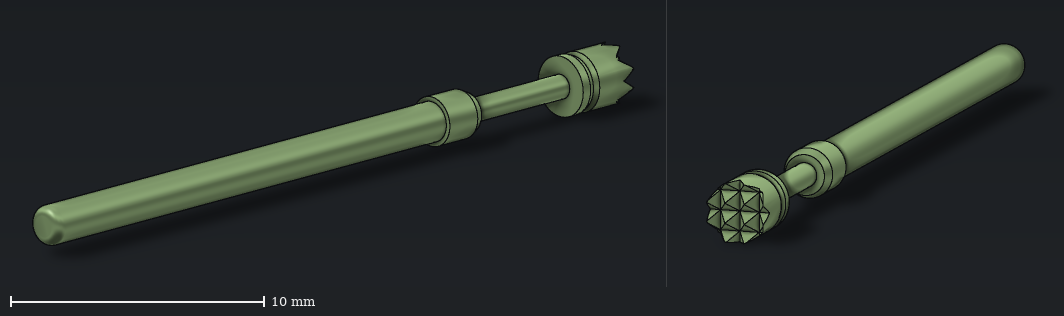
import cadquery as cq
import math

length = 32.3
barrel_length = 22.0
barrel_diameter = 1.65
barrel_end_fillet = 0.4

collar_length = 2.0
collar_diameter = 2.05
collar_taper_length = 0.42

stem_diameter = 1.0

head_diameter = 2.5
head_length = 2.97
neck_groove_offset = 0.42
neck_groove_width = 0.52
neck_groove_depth = 0.1

tooth_pitch = 0.8
tooth_depth = 0.65
cuts_per_direction = 3

barrel_radius = barrel_diameter / 2
collar_radius = collar_diameter / 2
stem_radius = stem_diameter / 2
head_radius = head_diameter / 2
collar_end = barrel_length + collar_length
head_start = length - head_length
groove_start = head_start + neck_groove_offset


def turned_body():
    """Barrel, collar, stem and head as one half profile revolved about the Y axis."""
    fillet_centre_x = barrel_radius - barrel_end_fillet
    arc_middle = (
        fillet_centre_x + barrel_end_fillet * math.sin(math.pi / 4),
        barrel_end_fillet * (1 - math.cos(math.pi / 4)),
    )
    return (
        cq.Workplane("XY")
        .lineTo(fillet_centre_x, 0)
        .threePointArc(arc_middle, (barrel_radius, barrel_end_fillet))
        .lineTo(barrel_radius, barrel_length)
        .lineTo(collar_radius, barrel_length)
        .lineTo(collar_radius, collar_end - collar_taper_length)
        .lineTo(barrel_radius, collar_end)
        .lineTo(stem_radius, collar_end)
        .lineTo(stem_radius, head_start)
        .lineTo(head_radius, head_start)
        .lineTo(head_radius, groove_start)
        .lineTo(head_radius - neck_groove_depth, groove_start + neck_groove_width / 2)
        .lineTo(head_radius, groove_start + neck_groove_width)
        .lineTo(head_radius, length)
        .lineTo(0, length)
        .close()
        .revolve(360, (0, 0, 0), (0, 1, 0))
    )


def tooth_cuts():
    """Parallel V-cuts along Z and, crossing them, along X; pyramids are left between the cuts."""
    half_gap = tooth_pitch / 2
    cuts = []
    for i in range(cuts_per_direction):
        centre = (i - (cuts_per_direction - 1) / 2) * tooth_pitch
        cut = (
            cq.Workplane("XY")
            .polyline([
                (centre - half_gap, length),
                (centre + half_gap, length),
                (centre, length - tooth_depth),
            ])
            .close()
            .extrude(head_diameter, both=True)
        )
        cuts.append(cut)
        cuts.append(cut.rotate((0, 0, 0), (0, 1, 0), 90))
    return cuts


result = turned_body()
for tooth_cut in tooth_cuts():
    result = result.cut(tooth_cut)